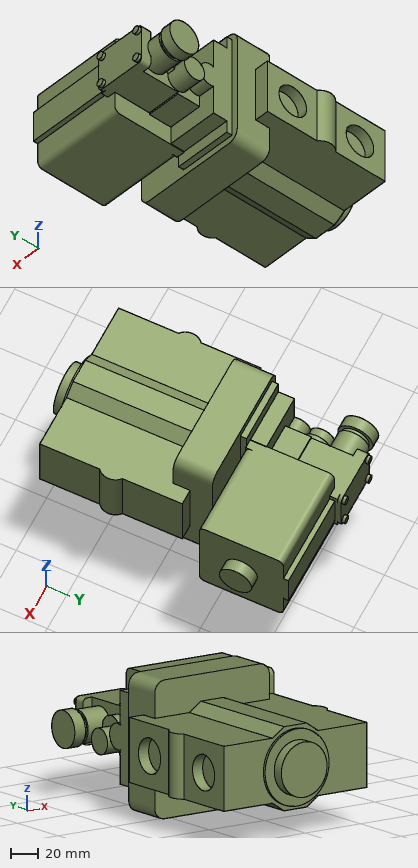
import cadquery as cq


block_half_x = 64.9
block_length = 116.0
block_half_z = 24.4
block_mid_y = block_length / 2
ridge_half_z = 31.5
ridge_top_half_x = 10.1
ridge_base_half_x = 20.7
side_boss_radius = 12.0
side_boss_reach = 69.2
port_radius = 13.5
port_offset = 33.1
port_depth = 9.2

collar_radius = 29.0
collar_height = 2.0
plug_radius = 20.7
plug_reach = 10.8

flange_half = 52.0
flange_corner_radius = 9.0
flange_front = 102.1
flange_back = 134.0
plate_back = 139.2
plate_half_z = 46.0
plate_right = 6.0
adapter_left = -46.2
adapter_back = 152.3
adapter_half_z = 35.2

body_left = -31.0
body_back = 216.7
wide_body_back = 173.5
wide_body_half_z = 19.3
body_half_z = 17.7
cover_left = -39.0
cover_right = 7.5
cover_front = 207.5
cover_corner_radius = 3.7
lid_front = 213.7
lid_corner_radius = 4.4

housing_right = 83.7
housing_half_z = 35.9
housing_edge_radius = 5.0
spine_back = 211.5
spine_half_z = 13.8
stub_radius = 13.0
stub_reach = 93.4
stub_y = 173.2

screw_radius = 3.2
screw_back = 219.2
screw_half_spacing_z = 13.0

knob_y = 197.5
knob_radius = 14.3
knob_left = -64.5
neck_radius = 11.3
neck_left = -54.7
shank_radius = 12.9
shank_left = -51.3

button_radius = 10.0
button_y = 173.6
button_z = -6.7
button_left = -49.2
button_base_radius = 11.0
button_base_y = 174.3
button_base_left = -38.2
pin_radius = 10.0
pin_y = 155.5


def box(x_range, y_range, half_z):
    """Box between two X and two Y positions, centred on Z = 0."""
    width = x_range[1] - x_range[0]
    length = y_range[1] - y_range[0]
    corner = (x_range[0], y_range[0], -half_z)
    return cq.Workplane("XY").box(width, length, 2 * half_z, centered=False).translate(corner)


def x_cylinder(radius, x_start, x_end, y, z=0):
    """Cylinder along X between two X positions."""
    return cq.Workplane("YZ", origin=(x_start, y, z)).circle(radius).extrude(x_end - x_start)


def y_cylinder(radius, y_start, y_end, x=0, z=0):
    """Cylinder along Y between two Y positions."""
    return cq.Workplane("XZ", origin=(x, y_start, z)).circle(radius).extrude(y_start - y_end)


def make_valve_block():
    block = box((-block_half_x, block_half_x), (0, block_length), block_half_z)

    ridge = (
        cq.Workplane("XZ")
        .polyline([
            (-ridge_base_half_x, block_half_z),
            (-ridge_top_half_x, ridge_half_z),
            (ridge_top_half_x, ridge_half_z),
            (ridge_base_half_x, block_half_z),
            (ridge_base_half_x, -block_half_z),
            (ridge_top_half_x, -ridge_half_z),
            (-ridge_top_half_x, -ridge_half_z),
            (-ridge_base_half_x, -block_half_z),
        ])
        .close()
        .extrude(-block_length)
    )
    block = block.union(ridge)

    boss_x = side_boss_reach - side_boss_radius
    bosses = (
        cq.Workplane("XY", origin=(0, block_mid_y, -block_half_z))
        .pushPoints([(-boss_x, 0), (boss_x, 0)])
        .circle(side_boss_radius)
        .extrude(2 * block_half_z)
    )
    block = block.union(bosses)

    for side in (-1, 1):
        port_y = block_mid_y + side * port_offset
        block = block.cut(x_cylinder(port_radius, -block_half_x, -block_half_x + port_depth, port_y))
    return block


def make_end_cap():
    collar = y_cylinder(collar_radius, -collar_height, 0)
    plug = y_cylinder(plug_radius, -plug_reach, 0)
    return collar.union(plug)


def make_flange_stack():
    flange = box((-flange_half, flange_half), (flange_front, flange_back), flange_half)
    flange = flange.edges("|Y").fillet(flange_corner_radius)
    plate = box((adapter_left, plate_right), (flange_back, plate_back), plate_half_z)
    adapter = box((adapter_left, 0), (plate_back, adapter_back), adapter_half_z)
    return flange.union(plate).union(adapter)


def make_pilot_body():
    wide_body = box((body_left, 0), (adapter_back, wide_body_back), wide_body_half_z)
    narrow_body = box((body_left, 0), (wide_body_back, lid_front), body_half_z)
    cover = box((cover_left, cover_right), (cover_front, lid_front), body_half_z)
    cover = cover.edges("|Y and <X").fillet(cover_corner_radius)

    lid = box((cover_left, cover_right), (lid_front, body_back), body_half_z)
    lid = lid.edges("|Y and <X").fillet(cover_corner_radius)
    lid = lid.edges("|Y and >X").fillet(lid_corner_radius)
    body = wide_body.union(narrow_body).union(cover).union(lid)

    for screw_x in (cover_left + cover_corner_radius, cover_right - lid_corner_radius):
        for side in (-1, 1):
            screw_z = side * screw_half_spacing_z
            body = body.union(y_cylinder(screw_radius, body_back, screw_back, screw_x, screw_z))
    return body


def make_solenoid():
    foot = box((0, cover_right), (plate_back, cover_front), housing_half_z)
    foot = foot.edges("|X and >Y").fillet(housing_edge_radius)
    housing = box((cover_right, housing_right), (plate_back, cover_front), housing_half_z)
    housing = housing.edges("|X").fillet(housing_edge_radius)
    spine = box((cover_right, housing_right), (cover_front, spine_back), spine_half_z)
    stub = x_cylinder(stub_radius, housing_right, stub_reach, stub_y)
    return foot.union(housing).union(spine).union(stub)


def make_fittings():
    knob = x_cylinder(knob_radius, knob_left, neck_left, knob_y)
    neck = x_cylinder(neck_radius, neck_left, shank_left, knob_y)
    shank = x_cylinder(shank_radius, shank_left, body_left, knob_y)
    button = x_cylinder(button_radius, button_left, body_left, button_y, button_z)
    button_base = x_cylinder(button_base_radius, button_base_left, body_left, button_base_y)
    pin = x_cylinder(pin_radius, adapter_left, body_left, pin_y)
    return knob.union(neck).union(shank).union(button).union(button_base).union(pin)


result = (
    make_valve_block()
    .union(make_end_cap())
    .union(make_flange_stack())
    .union(make_pilot_body())
    .union(make_solenoid())
    .union(make_fittings())
)